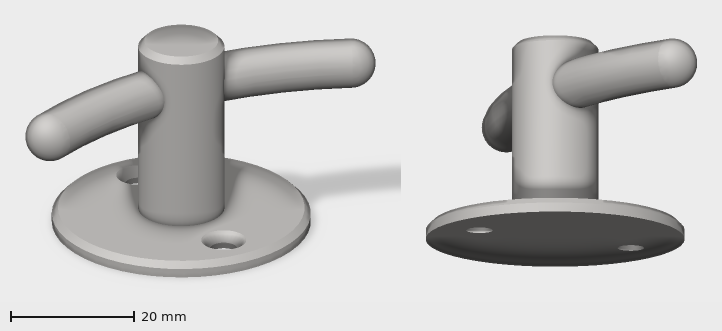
import cadquery as cq
import math

base_diameter = 42.0
base_thickness = 2.5
edge_chamfer = 1.0

screw_spacing = 28.0
screw_hole_diameter = 4.3
countersink_diameter = 7.3
countersink_angle = 90.0

post_diameter = 14.0
overall_height = 32.5
post_height = overall_height - base_thickness

arm_diameter = 8.0
arm_radius = arm_diameter / 2
arm_axis_height = 24.5
arm_span = 64.0
tip_center_y = arm_span / 2 - arm_radius
bend_radius = 65.0
bend_angle = math.asin(tip_center_y / bend_radius)


def make_base():
    """Round plate with a chamfered top rim and two countersunk holes."""
    plate = (
        cq.Workplane("XY")
        .circle(base_diameter / 2)
        .extrude(base_thickness)
        .faces(">Z")
        .chamfer(edge_chamfer)
    )
    return (
        plate.faces(">Z")
        .workplane()
        .rarray(screw_spacing, 1, 2, 1)
        .cskHole(screw_hole_diameter, countersink_diameter, countersink_angle)
    )


def make_post():
    """Cylinder resting on the plate, chamfered around its top."""
    return (
        cq.Workplane("XY", origin=(0, 0, base_thickness))
        .circle(post_diameter / 2)
        .extrude(post_height)
        .faces(">Z")
        .chamfer(edge_chamfer)
    )


def bend_point(angle):
    """Point on the arm's center arc, which leaves the post axis along Y and bends toward +X."""
    x = bend_radius * (1 - math.cos(angle))
    y = bend_radius * math.sin(angle)
    return (x, y)


def make_arm(side, post):
    """Bent round bar ending on the post's surface; side is +1 or -1 along Y."""
    center_arc = (
        cq.Workplane("XY", origin=(0, 0, arm_axis_height))
        .moveTo(0, 0)
        .threePointArc(bend_point(side * bend_angle / 2), bend_point(side * bend_angle))
    )
    bar = (
        cq.Workplane("XZ", origin=(0, 0, arm_axis_height))
        .circle(arm_radius)
        .sweep(center_arc)
    )
    tip_x, tip_y = bend_point(side * bend_angle)
    tip = cq.Workplane("XY", origin=(tip_x, tip_y, arm_axis_height)).sphere(arm_radius)
    return bar.union(tip).cut(post)


base = make_base()
post = make_post()
arms = [make_arm(side, post) for side in (-1, 1)]

bodies = [base, post, *arms]
result = cq.Compound.makeCompound([body.solids().val() for body in bodies])